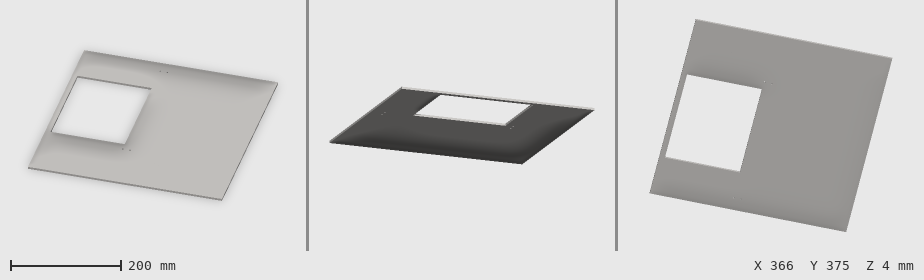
import cadquery as cq

plate_width = 366.0
plate_depth = 375.0
plate_thickness = 4.0

window_width = 140.0
window_depth = 180.0
window_left_margin = 10.0
window_front_margin = 115.5

hole_diameter = 3.0
hole_pair_spacing = 13.5
hole_row_spacing = 249.8
hole_pattern_x = -25.5
hole_pattern_y = 37.5


def make_plate():
    return cq.Workplane("XY").box(plate_width, plate_depth, plate_thickness)


def cut_window(plate):
    center_x = -plate_width / 2 + window_left_margin + window_width / 2
    center_y = -plate_depth / 2 + window_front_margin + window_depth / 2
    return (
        plate.faces(">Z").workplane(origin=(0, 0, 0))
        .center(center_x, center_y)
        .rect(window_width, window_depth)
        .cutThruAll()
    )


def drill_holes(plate):
    return (
        plate.faces(">Z").workplane(origin=(0, 0, 0))
        .center(hole_pattern_x, hole_pattern_y)
        .rarray(hole_pair_spacing, hole_row_spacing, 2, 2)
        .hole(hole_diameter)
    )


result = drill_holes(cut_window(make_plate()))